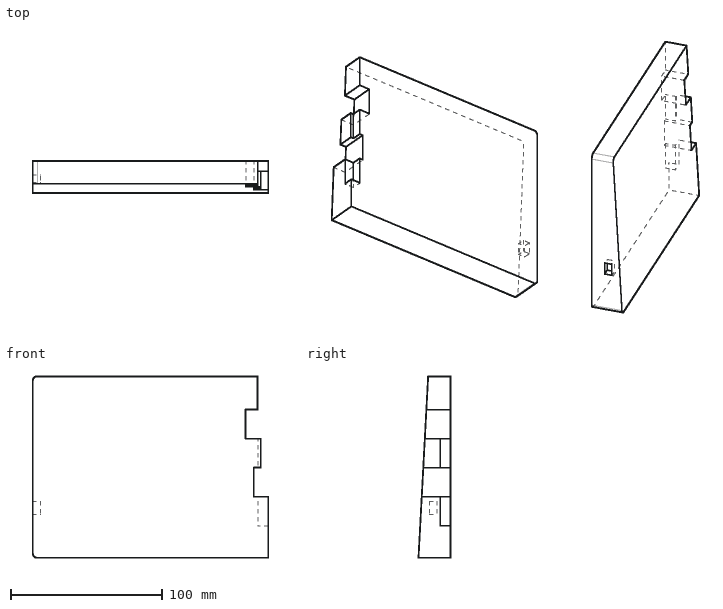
import cadquery as cq

length = 156.0
height = 120.2
bottom_depth = 21.4
top_depth = 15.0
corner_radius = 3.0

lower_tab_top = 40.5
step_pitch = 19.2
lower_notch_x = 146.5
middle_tab_x = 151.1
upper_notch_x = 141.0
upper_tab_x = 149.0

rebate_depth = 6.9
rebate_floor = lower_tab_top - step_pitch

port_back = 9.0
port_width = 5.0
port_bottom = 29.0
port_height = 8.5
port_depth = 5.0


def make_wedge():
    """Side profile extruded along X, with the two left corners rounded."""
    profile = [
        (0, 0),
        (bottom_depth, 0),
        (bottom_depth, height),
        (bottom_depth - top_depth, height),
    ]
    wedge = cq.Workplane("YZ").polyline(profile).close().extrude(length)
    outline = (
        cq.Workplane("XZ")
        .rect(length, height)
        .extrude(-bottom_depth)
        .translate((length / 2, 0, height / 2))
        .edges("|Y and <X")
        .fillet(corner_radius)
    )
    return wedge.intersect(outline)


def box_from(x, y, z, size_x, size_y, size_z):
    """Box with its lowest corner at (x, y, z)."""
    return cq.Workplane("XY").box(size_x, size_y, size_z, centered=False).translate((x, y, z))


result = make_wedge()

band_bottom = lower_tab_top
for edge_x in (lower_notch_x, middle_tab_x, upper_notch_x):
    result = result.cut(box_from(edge_x, 0, band_bottom, length - edge_x, bottom_depth, step_pitch))
    band_bottom += step_pitch
result = result.cut(
    box_from(upper_tab_x, 0, band_bottom, length - upper_tab_x, bottom_depth, height - band_bottom)
)

result = result.cut(
    box_from(
        upper_tab_x,
        bottom_depth - rebate_depth,
        rebate_floor,
        length - upper_tab_x,
        rebate_depth,
        band_bottom - rebate_floor,
    )
)

port_front_y = bottom_depth - port_back - port_width
result = result.cut(box_from(0, port_front_y, port_bottom, port_depth, port_width, port_height))